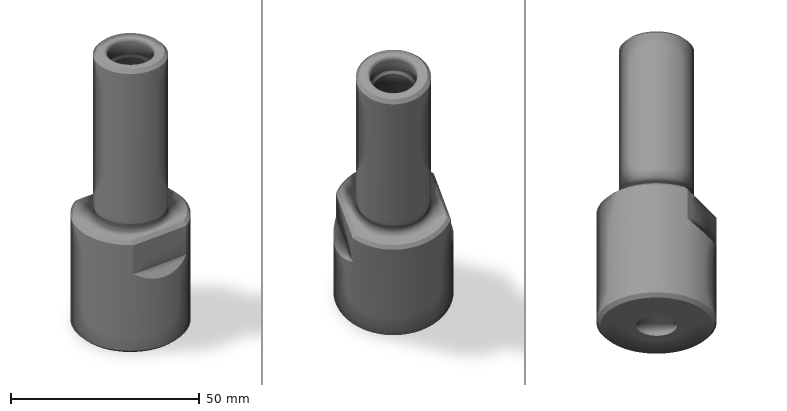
import cadquery as cq
import math

total_height = 85.0
collar_height = 35.0

collar_diameter = 32.0
bottom_chamfer = 1.0
top_chamfer = 0.9

flats_width = 27.0
flat_length = 10.0
flat_chamfer = 1.0

shank_diameter = 20.0
shank_tip_chamfer = 1.0

relief_diameter = 19.6
relief_width = 2.0
relief_fillet = 0.8
relief_run_out_angle = 15.0

bore_diameter = 10.92
counterbore_diameter = 12.5
counterbore_depth = 5.0
counterbore_seat_angle = 60.0
mouth_fillet = 1.0

collar_radius = collar_diameter / 2
shank_radius = shank_diameter / 2
relief_radius = relief_diameter / 2
bore_radius = bore_diameter / 2
counterbore_radius = counterbore_diameter / 2
flat_offset = flats_width / 2


def make_body():
    """Collar, relief groove and shank, revolved about Z from a half section."""
    run_out_top = collar_height + relief_width
    run_out_height = (shank_radius - relief_radius) / math.tan(math.radians(relief_run_out_angle))
    fillet_offset = relief_fillet * (1 - math.sqrt(0.5))
    section = (
        cq.Workplane("XZ")
        .moveTo(0, 0)
        .lineTo(collar_radius - bottom_chamfer, 0)
        .lineTo(collar_radius, bottom_chamfer)
        .lineTo(collar_radius, collar_height - top_chamfer)
        .lineTo(collar_radius - top_chamfer, collar_height)
        .lineTo(relief_radius + relief_fillet, collar_height)
        .threePointArc(
            (relief_radius + fillet_offset, collar_height + fillet_offset),
            (relief_radius, collar_height + relief_fillet),
        )
        .lineTo(relief_radius, run_out_top - run_out_height)
        .lineTo(shank_radius, run_out_top)
        .lineTo(shank_radius, total_height - shank_tip_chamfer)
        .lineTo(shank_radius - shank_tip_chamfer, total_height)
        .lineTo(0, total_height)
        .close()
    )
    return section.revolve(360, (0, 0, 0), (0, 1, 0))


def make_flat_cutter():
    """Material removed on the +X side: chamfer, flat and 45 degree run-out."""
    flat_bottom = collar_height - flat_length
    run_out_depth = collar_radius - flat_offset
    return (
        cq.Workplane("XZ")
        .moveTo(flat_offset - flat_chamfer, collar_height)
        .lineTo(flat_offset, collar_height - flat_chamfer)
        .lineTo(flat_offset, flat_bottom)
        .lineTo(collar_radius, flat_bottom - run_out_depth)
        .lineTo(collar_radius, collar_height)
        .close()
        .extrude(collar_radius, both=True)
    )


def make_bore():
    """Through bore with a conical seat, a counterbore and a rounded mouth."""
    seat_top = total_height - counterbore_depth
    seat_height = (counterbore_radius - bore_radius) / math.tan(math.radians(counterbore_seat_angle))
    fillet_offset = mouth_fillet * (1 - math.sqrt(0.5))
    section = (
        cq.Workplane("XZ")
        .moveTo(0, 0)
        .lineTo(bore_radius, 0)
        .lineTo(bore_radius, seat_top - seat_height)
        .lineTo(counterbore_radius, seat_top)
        .lineTo(counterbore_radius, total_height - mouth_fillet)
        .threePointArc(
            (counterbore_radius + fillet_offset, total_height - fillet_offset),
            (counterbore_radius + mouth_fillet, total_height),
        )
        .lineTo(0, total_height)
        .close()
    )
    return section.revolve(360, (0, 0, 0), (0, 1, 0))


flat_cutter = make_flat_cutter()
result = make_body().cut(make_bore())
for cutter in (flat_cutter, flat_cutter.mirror("YZ")):
    result = result.cut(cutter)